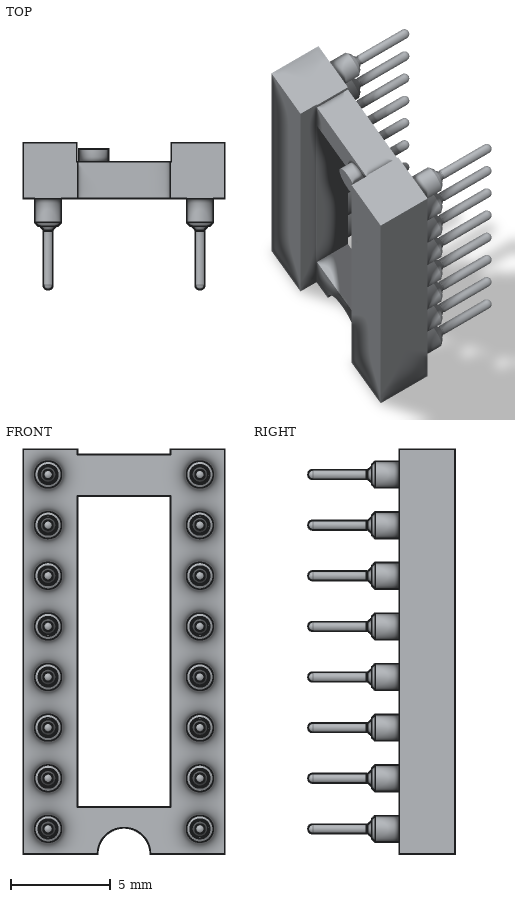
import cadquery as cq
import math

BODY_WIDTH = 10.1
BODY_HEIGHT = 20.3
BODY_DEPTH = 2.8
BRIDGE_DEPTH = 1.85
WINDOW_WIDTH = 4.65
LEG_RELIEF = 0.05
WINDOW_BOTTOM = 2.38
WINDOW_TOP = 17.95
TOP_RECESS = 0.26
NOTCH_RADIUS = 1.32

PEG_RADIUS = 0.75
PEG_LENGTH = 0.65
PEG_X = -1.52
PEG_Z = 18.9

PIN_COUNT = 8
PIN_PITCH = 2.54
ROW_SPACING = 7.61
COLLAR_RADIUS = 0.67
COLLAR_LENGTH = 1.2
BEVEL = 0.18
CONE_RADIUS = 0.4
CONE_LENGTH = 0.2
NECK_RADIUS = 0.22
NECK_LENGTH = 0.06
TAIL_RADIUS = 0.25
PIN_LENGTH = 4.57


def block(width, y_start, y_end, z_start, z_end):
    """Block centred on X between the given Y and Z limits."""
    size = (width, y_end - y_start, z_end - z_start)
    return cq.Workplane("XY").box(*size, centered=(True, False, False)).translate((0, y_start, z_start))


def make_body():
    """Two legs joined by an upper and a lower bridge, front face at Y = 0."""
    body = block(BODY_WIDTH, 0, BODY_DEPTH, 0, BODY_HEIGHT)
    body = body.cut(block(WINDOW_WIDTH, 0, BODY_DEPTH, WINDOW_BOTTOM, WINDOW_TOP))
    body = body.cut(block(WINDOW_WIDTH, 0, BODY_DEPTH, BODY_HEIGHT - TOP_RECESS, BODY_HEIGHT))
    body = body.cut(block(WINDOW_WIDTH + 2 * LEG_RELIEF, BRIDGE_DEPTH, BODY_DEPTH, 0, BODY_HEIGHT))
    notch = cq.Workplane("XZ").circle(NOTCH_RADIUS).extrude(-BODY_DEPTH)
    return body.cut(notch)


def make_peg():
    """Round peg standing on the rear face of the upper bridge."""
    peg = cq.Workplane("XZ").circle(PEG_RADIUS).extrude(-PEG_LENGTH)
    return peg.translate((PEG_X, BRIDGE_DEPTH, PEG_Z))


def make_pin():
    """Turned pin along -Y with a rounded tip, starting on the front face of the body."""
    bevel_end = COLLAR_LENGTH + BEVEL
    cone_end = bevel_end + CONE_LENGTH
    neck_end = cone_end + NECK_LENGTH
    tip_start = PIN_LENGTH - TAIL_RADIUS
    tip_middle = TAIL_RADIUS * math.sqrt(0.5)
    profile = (
        cq.Workplane("XY")
        .lineTo(COLLAR_RADIUS, 0)
        .lineTo(COLLAR_RADIUS, -COLLAR_LENGTH)
        .lineTo(COLLAR_RADIUS - BEVEL, -bevel_end)
        .lineTo(CONE_RADIUS, -bevel_end)
        .lineTo(NECK_RADIUS, -cone_end)
        .lineTo(NECK_RADIUS, -neck_end)
        .lineTo(TAIL_RADIUS, -neck_end)
        .lineTo(TAIL_RADIUS, -tip_start)
        .threePointArc((tip_middle, -(tip_start + tip_middle)), (0, -PIN_LENGTH))
        .close()
    )
    return profile.revolve(360, (0, 0, 0), (0, 1, 0))


result = make_body().union(make_peg())
pin = make_pin()
first_pin_z = (BODY_HEIGHT - (PIN_COUNT - 1) * PIN_PITCH) / 2
for pin_x in (-ROW_SPACING / 2, ROW_SPACING / 2):
    for index in range(PIN_COUNT):
        result = result.union(pin.translate((pin_x, 0, first_pin_z + index * PIN_PITCH)))